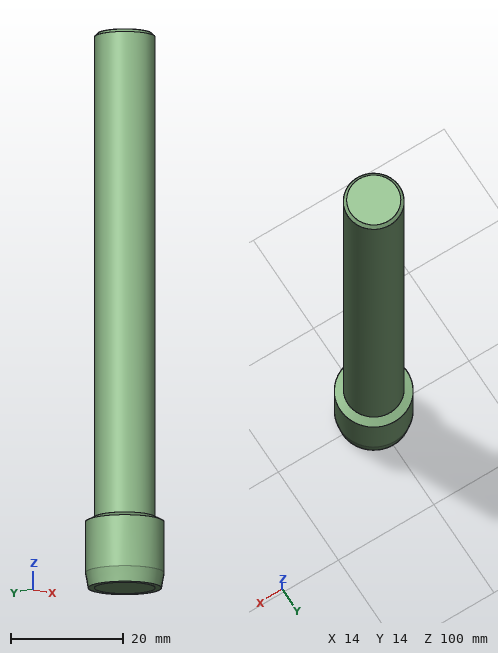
import cadquery as cq

TOTAL_LENGTH = 100.0
PIN_DIAMETER = 10.8
PIN_TIP_CHAMFER = 0.6

BUSHING_DIAMETER = 14.0
BUSHING_LENGTH = 12.7
BUSHING_TOP_SLOPE_HEIGHT = 0.8
LEAD_IN_HEIGHT = 2.7
LEAD_IN_INSET = 0.5


def make_pin():
    """Straight round pin with a chamfered upper end."""
    pin = cq.Workplane("XY").circle(PIN_DIAMETER / 2).extrude(TOTAL_LENGTH)
    return pin.faces(">Z").chamfer(PIN_TIP_CHAMFER)


def make_bushing():
    """Sleeve with a tapered lower lead-in, a conical top and a bore that fits the pin."""
    bore_radius = PIN_DIAMETER / 2
    outer_radius = BUSHING_DIAMETER / 2
    half_section = (
        cq.Workplane("XZ")
        .moveTo(bore_radius, 0)
        .lineTo(outer_radius - LEAD_IN_INSET, 0)
        .lineTo(outer_radius, LEAD_IN_HEIGHT)
        .lineTo(outer_radius, BUSHING_LENGTH - BUSHING_TOP_SLOPE_HEIGHT)
        .lineTo(bore_radius, BUSHING_LENGTH)
        .close()
    )
    return half_section.revolve(360, (0, 0, 0), (0, 1, 0))


pin = make_pin()
bushing = make_bushing()

result = cq.Compound.makeCompound([pin.val(), bushing.val()])